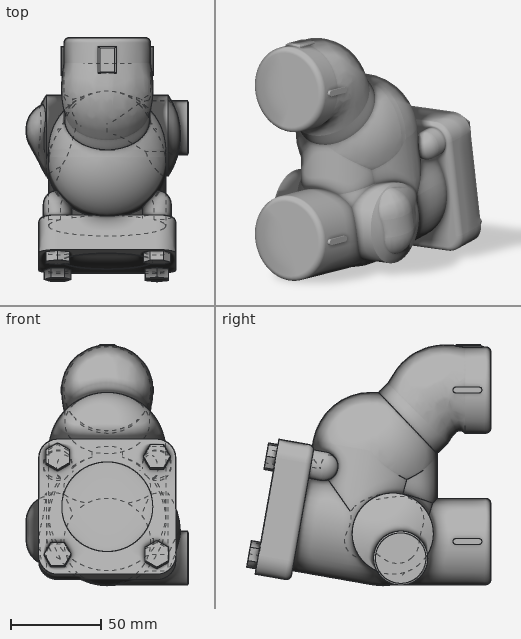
import cadquery as cq
import math

TILT = 10.0
PIPE_D = 48.0
PIPE_END_FILLET = 3.0
PIPE_SPACING = 84.0
BODY_R = 32.5
JOINT_Y = -73.5
JOINT_Z = 10.4
CHAMBER_LENGTH = 40.4
BARREL_BACK = 13.9
DOME_STRETCH = 4.2

UPPER_STRAIGHT = 14.3
ELBOW_VERTEX_Y = -27.7
ELBOW_ANGLE = 45.0
ELBOW_WIDTH = 50.8
ELBOW_DEPTH = 49.5
ELBOW_ARM = 18.0
ELBOW_END_D = 47.0

NECK_D = 50.0
NECK_Y = -54.7

POT_R = 22.5
POT_Y = -54.4
POT_Z = 4.4
POT_DOME_R = 40.6

PORT_D = 30.0
PORT_END_X = 45.0
PORT_END_CHAMFER = 1.0
PORT_Y = -50.0
PORT_Z = -9.2

BULGE_R = 14.5
BULGE_X = -30.5
BULGE_Y = -51.5
BULGE_Z = 6.0
BULGE_STRETCH = 10.5
BULGE_ARM = 28.0
BULGE_ARM_ANGLE = 28.5

PLATE_SIZE = 76.0
PLATE_THICKNESS = 10.0
FLANGE_OFFSET = 31.4
FLANGE_FILLET = 3.0
BOLT_OFFSET = 27.5
BOLT_HEAD_FLATS = 13.0
BOLT_HEAD_HEIGHT = 5.3
BOSS_R = 8.0
BOSS_LENGTH = 7.0
COVER_DISC_D = 50.5
COVER_DISC_DEPTH = 0.3

MARK_START = 5.0
PAD_LENGTH = 15.0
PAD_WIDTH = 10.0
PAD_HEIGHT = 1.2
PAD_CHAMFER = 0.9
RIB_LENGTH = 16.0
RIB_WIDTH = 3.2
RIB_HEIGHT = 1.5

SIN_TILT = math.sin(math.radians(TILT))
COS_TILT = math.cos(math.radians(TILT))
PIPE_R = PIPE_D / 2
COVER_FACE = FLANGE_OFFSET + 2 * PLATE_THICKNESS
FORWARD = cq.Vector(0, -COS_TILT, SIN_TILT)
UPWARD = cq.Vector(0, SIN_TILT, COS_TILT)
JOINT = cq.Vector(0, JOINT_Y, JOINT_Z)
DOME_CENTRE = JOINT + UPWARD * CHAMBER_LENGTH
ELBOW_VERTEX = cq.Vector(0, ELBOW_VERTEX_Y, PIPE_SPACING)
PIPE_AXIS = cq.Vector(0, -1, 0)
ACROSS = cq.Vector(1, 0, 0)


def rod(start, direction, length, radius):
    return cq.Workplane(cq.Solid.makeCylinder(radius, length, start, direction))


def ball(centre, radius):
    return cq.Workplane("XY").sphere(radius).translate(centre)


def cover_plane(offset):
    """Plane parallel to the cover, at a distance forward of the joint."""
    return cq.Workplane(cq.Plane(JOINT + FORWARD * offset, ACROSS, FORWARD))


def pipe(height, length):
    full = rod(cq.Vector(0, 0, height), PIPE_AXIS, length, PIPE_R)
    return full.faces(">Y").edges().fillet(PIPE_END_FILLET)


def section_wire(centre, direction, width, depth):
    plane = cq.Plane(centre, ACROSS, direction)
    return cq.Workplane(plane).ellipse(width / 2, depth / 2).val()


def direction_down(angle):
    """Direction in the mid plane, an angle below the pipe axis."""
    turn = math.radians(angle)
    return cq.Vector(0, -math.cos(turn), -math.sin(turn))


def make_elbow():
    arm_axis = direction_down(ELBOW_ANGLE)
    arm_end = ELBOW_VERTEX + arm_axis * ELBOW_ARM
    start = cq.Vector(0, -UPPER_STRAIGHT, PIPE_SPACING)
    wires = [
        section_wire(start, PIPE_AXIS, PIPE_D, PIPE_D),
        section_wire(ELBOW_VERTEX, direction_down(ELBOW_ANGLE / 2), ELBOW_WIDTH, ELBOW_DEPTH),
        section_wire(arm_end, arm_axis, ELBOW_END_D, ELBOW_END_D),
    ]
    bend = cq.Workplane(cq.Solid.makeLoft(wires))
    arm_length = (DOME_CENTRE - arm_end).Length
    arm = rod(arm_end, arm_axis, arm_length, ELBOW_END_D / 2)
    return bend.union(arm)


def make_chamber():
    back_dome = DOME_CENTRE - PIPE_AXIS * DOME_STRETCH
    dome = ball(DOME_CENTRE, BODY_R).union(ball(back_dome, BODY_R))
    dome = dome.union(rod(back_dome, PIPE_AXIS, DOME_STRETCH, BODY_R))
    return dome.union(rod(JOINT, UPWARD, CHAMBER_LENGTH, BODY_R))


def make_neck():
    return rod(cq.Vector(0, NECK_Y, 0), cq.Vector(0, 0, 1), DOME_CENTRE.z, NECK_D / 2)


def make_pot():
    """Drum along X with domed ends."""
    rim = math.sqrt(POT_DOME_R ** 2 - POT_R ** 2)
    profile = cq.Workplane(cq.Plane((0, POT_Y, POT_Z), ACROSS, (0, 0, 1)))
    profile = profile.moveTo(-POT_DOME_R, 0).radiusArc((-rim, POT_R), POT_DOME_R).lineTo(rim, POT_R)
    return profile.radiusArc((POT_DOME_R, 0), POT_DOME_R).close().revolve(360, (0, 0), (1, 0))


def make_port():
    port = rod(cq.Vector(0, PORT_Y, PORT_Z), ACROSS, PORT_END_X, PORT_D / 2)
    return port.faces(">X").chamfer(PORT_END_CHAMFER / 2, PORT_END_CHAMFER)


def make_bulge():
    """Flattened passage that leaves the pot sideways and turns forward into the barrel."""
    centre = cq.Vector(BULGE_X, BULGE_Y, BULGE_Z)
    turn = math.radians(BULGE_ARM_ANGLE)
    slanted = ACROSS * math.sin(turn) + FORWARD * math.cos(turn)
    pot_end = centre + ACROSS * BULGE_ARM
    path = cq.Workplane(cq.Wire.makePolygon([pot_end, centre, centre + slanted * BULGE_ARM]))
    section = cq.Workplane(cq.Plane(pot_end, UPWARD, -ACROSS)).slot2D(BULGE_STRETCH + 2 * BULGE_R, 2 * BULGE_R)
    return section.sweep(path, transition="round")


def make_plate(offset):
    plate = cover_plane(offset).rect(PLATE_SIZE, PLATE_SIZE).extrude(PLATE_THICKNESS)
    return plate.edges(cq.selectors.ParallelDirSelector(FORWARD)).fillet(PLATE_SIZE / 2 - BOLT_OFFSET)


def make_barrel():
    """Round-backed strainer barrel with its flange and two bolt bosses."""
    length = BARREL_BACK + FLANGE_OFFSET
    barrel = rod(JOINT - FORWARD * BARREL_BACK, FORWARD, length, BODY_R)
    barrel = barrel.union(ball(JOINT - FORWARD * BARREL_BACK, BODY_R)).union(make_plate(FLANGE_OFFSET))
    root = JOINT + FORWARD * FLANGE_OFFSET + ACROSS * BODY_R
    barrel = barrel.edges(cq.selectors.NearestToPointSelector(root.toTuple())).fillet(FLANGE_FILLET)
    for x in (-BOLT_OFFSET, BOLT_OFFSET):
        boss_end = JOINT + ACROSS * x + UPWARD * BOLT_OFFSET + FORWARD * (FLANGE_OFFSET - BOSS_LENGTH)
        barrel = barrel.union(ball(boss_end, BOSS_R)).union(rod(boss_end, FORWARD, BOSS_LENGTH, BOSS_R))
    return barrel


def make_cover():
    """Cover plate with a shallow round recess and four hexagon bolt heads."""
    cover = make_plate(FLANGE_OFFSET + PLATE_THICKNESS)
    recess = cover_plane(COVER_FACE - COVER_DISC_DEPTH).circle(COVER_DISC_D / 2).extrude(COVER_DISC_DEPTH)
    cover = cover.cut(recess)
    head_corner_d = BOLT_HEAD_FLATS / math.cos(math.pi / 6)
    for x in (-BOLT_OFFSET, BOLT_OFFSET):
        for y in (-BOLT_OFFSET, BOLT_OFFSET):
            turn = 30 if x * y < 0 else 0
            head = cq.Workplane("XY").polygon(6, head_corner_d).extrude(BOLT_HEAD_HEIGHT)
            head = head.rotate((0, 0, 0), (0, 0, 1), turn).translate((x, y, 0))
            cover = cover.union(cq.Workplane(head.val().moved(cq.Location(cover_plane(COVER_FACE).plane))))
    return cover


def make_rib(side, height):
    reach = PIPE_R + RIB_HEIGHT
    rib = cq.Workplane("YZ").center(-MARK_START - RIB_LENGTH / 2, height)
    return rib.slot2D(RIB_LENGTH, RIB_WIDTH).extrude(side * reach)


def make_pad():
    pad = cq.Workplane("XY").workplane(offset=PIPE_SPACING)
    pad = pad.center(0, -MARK_START - PAD_LENGTH / 2).rect(PAD_WIDTH, PAD_LENGTH)
    return pad.extrude(PIPE_R + PAD_HEIGHT).faces(">Z").chamfer(PAD_CHAMFER)


upper = make_elbow().union(make_chamber())
body = upper.union(pipe(PIPE_SPACING, UPPER_STRAIGHT)).union(pipe(0, -POT_Y))
for section in (make_neck(), make_pot(), make_port(), make_bulge(), make_barrel(), make_cover(), make_pad()):
    body = body.union(section)
for rib_side in (-1, 1):
    for rib_height in (0, PIPE_SPACING):
        body = body.union(make_rib(rib_side, rib_height))
result = body